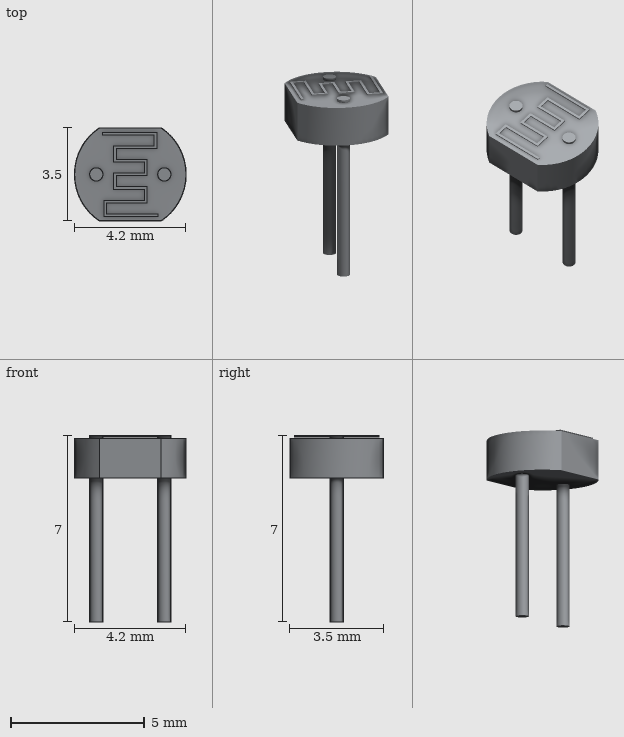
import cadquery as cq


housing_diameter = 4.2
housing_width = 3.5
housing_height = 1.5

total_height = 7.0
lead_diameter = 0.5
lead_spacing = 2.555
lead_protrusion = 0.1
housing_top = total_height - lead_protrusion
housing_bottom = housing_top - housing_height

trace_width = 0.1
trace_thickness = 0.05
row_pitch = 0.51
end_reach = 1.05
outer_turn_reach = 0.945
inner_turn_reach = 0.575


def make_housing():
    """Round disc with two parallel flats, with both leads passing through."""
    disc = cq.Workplane("XY").circle(housing_diameter / 2).extrude(housing_height)
    flats = cq.Workplane("XY").box(
        housing_diameter, housing_width, housing_height, centered=(True, True, False)
    )
    body = disc.intersect(flats).translate((0, 0, housing_bottom))
    leads = (
        cq.Workplane("XY")
        .pushPoints([(-lead_spacing / 2, 0), (lead_spacing / 2, 0)])
        .circle(lead_diameter / 2)
        .extrude(total_height)
    )
    return body.union(leads)


def trace_segment(start, end):
    """Straight strip around a centre line, squared off half a width past each turn."""
    (x_start, y_start), (x_end, y_end) = start, end
    return (
        cq.Workplane("XY", origin=(0, 0, total_height - trace_thickness))
        .center((x_start + x_end) / 2, (y_start + y_end) / 2)
        .rect(abs(x_end - x_start) + trace_width, abs(y_end - y_start) + trace_width)
        .extrude(trace_thickness)
    )


def make_trace():
    """Meander of equally spaced rows, unchanged by a half turn about the axis."""
    end_x = end_reach - trace_width / 2
    turns = [
        outer_turn_reach,
        -inner_turn_reach,
        inner_turn_reach,
        -inner_turn_reach,
        inner_turn_reach,
        -outer_turn_reach,
    ]
    top_row_y = row_pitch * len(turns) / 2
    path = [(-end_x, top_row_y)]
    for index, turn_x in enumerate(turns):
        row_y = top_row_y - index * row_pitch
        path.append((turn_x, row_y))
        path.append((turn_x, row_y - row_pitch))
    path.append((end_x, -top_row_y))

    trace = trace_segment(path[0], path[1])
    for start, end in zip(path[1:], path[2:]):
        trace = trace.union(trace_segment(start, end))
    return trace.clean()


housing = make_housing()
trace = make_trace()
result = cq.Compound.makeCompound([housing.solids().val(), trace.solids().val()])